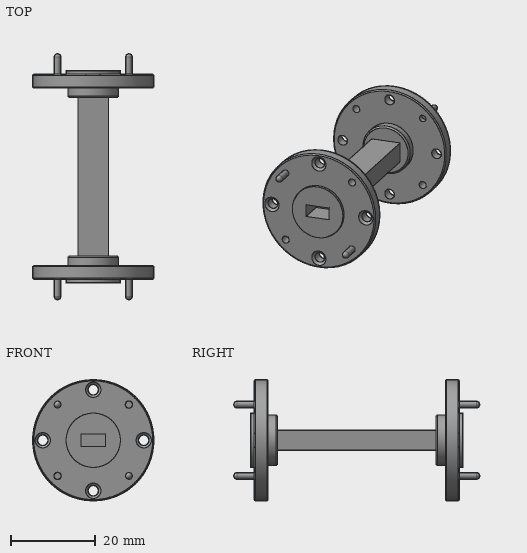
import cadquery as cq
import math


MATING_FACE = 25.0
PLATE_FRONT = 24.2
PLATE_BACK = 20.9
BOSS_BACK = 18.65
PIN_TIP = 29.0
PIN_FOOT = 22.5

PLATE_RADIUS = 14.3
RAISED_FACE_RADIUS = 6.4
BOSS_RADIUS = 6.0
RIM_CHAMFER = 0.3
BOSS_CHAMFER = 0.4

PATTERN_RADIUS = 11.9
HOLES_PER_RING = 4
SCREW_HOLE_DIAMETER = 2.4
COUNTERSINK_DIAMETER = 3.6
COUNTERSINK_DEPTH = 0.6
PIN_DIAMETER = 1.6
CLEARANCE_DIAMETER = 1.75

BORE_WIDTH = 5.8
BORE_HEIGHT = 2.95
BAR_WIDTH = 7.2
BAR_HEIGHT = 4.75

PIN_ANGLES = (135, 315)
CLEARANCE_ANGLES = (45, 225)
SCREW_ANGLES = [i * 360 / HOLES_PER_RING for i in range(HOLES_PER_RING)]


def pattern_points(angles):
    """(x, z) centres on the hole pattern circle."""
    return [
        (PATTERN_RADIUS * math.cos(math.radians(a)), PATTERN_RADIUS * math.sin(math.radians(a)))
        for a in angles
    ]


def cylinder_along_y(radius, y_start, y_end, centres=((0, 0),)):
    """Cylinders along Y between two stations, y_start < y_end."""
    return (
        cq.Workplane("XZ", origin=(0, y_start, 0))
        .pushPoints(centres)
        .circle(radius)
        .extrude(y_start - y_end)
    )


def block_along_y(width, height, y_start, y_end):
    """Rectangular block along Y between two stations, y_start < y_end."""
    return cq.Workplane("XZ", origin=(0, y_start, 0)).rect(width, height).extrude(y_start - y_end)


def countersunk_hole(x, z):
    """Cutter for a screw hole, countersunk from the front of the plate."""
    hole_radius = SCREW_HOLE_DIAMETER / 2
    sink_radius = COUNTERSINK_DIAMETER / 2
    sink_bottom = -PLATE_FRONT + COUNTERSINK_DEPTH
    profile = [
        (0, -PLATE_FRONT),
        (sink_radius, -PLATE_FRONT),
        (hole_radius, sink_bottom),
        (hole_radius, -PLATE_BACK),
        (0, -PLATE_BACK),
    ]
    cutter = cq.Workplane("XY").polyline(profile).close().revolve(360, (0, 0, 0), (0, 1, 0))
    return cutter.translate((x, 0, z))


def make_front_flange():
    """The -Y flange: plate, raised mating face, rear boss, bore and holes."""
    plate = cylinder_along_y(PLATE_RADIUS, -PLATE_FRONT, -PLATE_BACK).edges().chamfer(RIM_CHAMFER)
    raised_face = cylinder_along_y(RAISED_FACE_RADIUS, -MATING_FACE, -PLATE_FRONT)
    boss = cylinder_along_y(BOSS_RADIUS, -PLATE_BACK, -BOSS_BACK).faces(">Y").edges().chamfer(BOSS_CHAMFER)
    flange = plate.union(raised_face).union(boss)

    flange = flange.cut(block_along_y(BORE_WIDTH, BORE_HEIGHT, -MATING_FACE, -BOSS_BACK))
    for diameter, angles in ((PIN_DIAMETER, PIN_ANGLES), (CLEARANCE_DIAMETER, CLEARANCE_ANGLES)):
        holes = cylinder_along_y(diameter / 2, -PLATE_FRONT, -PLATE_BACK, pattern_points(angles))
        flange = flange.cut(holes)
    for x, z in pattern_points(SCREW_ANGLES):
        flange = flange.cut(countersunk_hole(x, z))
    return flange


def make_pin(x, z):
    """Locating pin in the front flange, with a hemispherical tip."""
    radius = PIN_DIAMETER / 2
    tip_base = -PIN_TIP + radius
    arc_middle = (radius * math.sin(math.pi / 4), tip_base - radius * math.cos(math.pi / 4))
    pin = (
        cq.Workplane("XY")
        .moveTo(0, -PIN_FOOT)
        .lineTo(radius, -PIN_FOOT)
        .lineTo(radius, tip_base)
        .threePointArc(arc_middle, (0, -PIN_TIP))
        .close()
        .revolve(360, (0, 0, 0), (0, 1, 0))
    )
    return pin.translate((x, 0, z))


def make_bar():
    """Waveguide bar, butting against the bosses of both flanges."""
    return block_along_y(BAR_WIDTH, BAR_HEIGHT, -BOSS_BACK, BOSS_BACK)


bodies = [make_bar().val()]
for turn in (0, 180):
    end_parts = [make_front_flange()] + [make_pin(x, z) for x, z in pattern_points(PIN_ANGLES)]
    for end_part in end_parts:
        bodies.append(end_part.rotate((0, 0, 0), (0, 0, 1), turn).val())

result = cq.Compound.makeCompound(bodies)